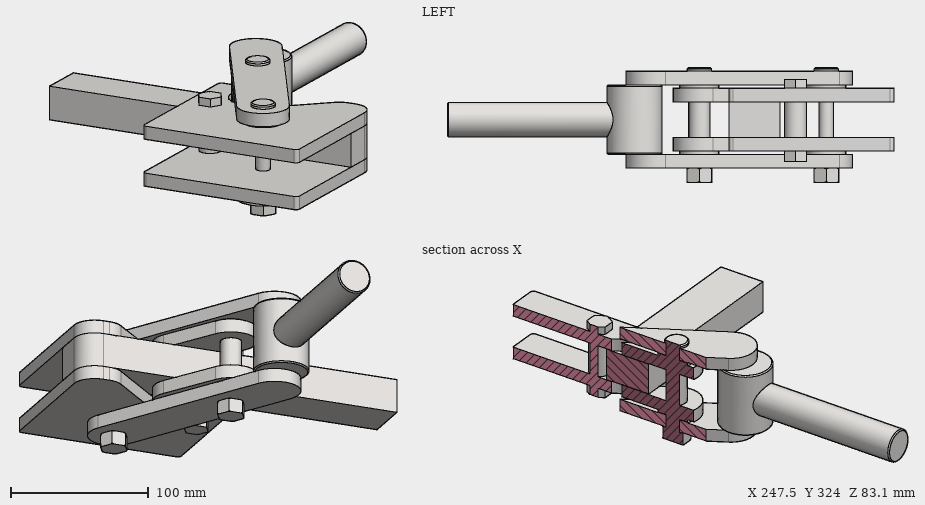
import cadquery as cq
import math


bar_thickness = 25.5
plate_thickness = 10.0
washer_thickness = 2.3
arm_thickness = 10.0
plate_inner_z = bar_thickness / 2
plate_outer_z = plate_inner_z + plate_thickness
arm_inner_z = plate_outer_z + washer_thickness
arm_outer_z = arm_inner_z + arm_thickness

plate_width = 127.3
plate_height = 120.0
small_corner_radius = 3.0
large_corner_radius = 16.2

bar_length = 247.5
bar_height = 37.3
bar_middle_y = plate_height - bar_height / 2

arm_lean = 30
base_pivot = (73.0, 49.2)
arm_length = 145.8
arm_radius = 19.0

link_lean = 31
link_radius = 19.0
arm_to_link_pivot = 106.3
link_pivot = (
    base_pivot[0] - arm_to_link_pivot * math.sin(math.radians(arm_lean)),
    base_pivot[1] + arm_to_link_pivot * math.cos(math.radians(arm_lean)),
)
link_drop = link_pivot[1] - bar_middle_y
link_length = link_drop / math.cos(math.radians(link_lean))
link_foot = (link_pivot[0] + link_drop * math.tan(math.radians(link_lean)), bar_middle_y)

notch_radius = 21.0
notch_center = (41.0, 100.5)
notch_mouth_x = 9.7
notch_floor_end_x = 55.5
notch_ramp_top_x = 100.0

boss_radius = 20.0
boss_y = 188.2
boss_chamfer = 1.0
rod_radius = 12.5
rod_tip_y = 324.0
rod_chamfer = 1.0

link_bolt_diameter = 15.5
base_bolt_diameter = 10.7
washer_diameter = 28.5
cap_diameter = 17.8
cap_height = 2.5
cap_chamfer = 1.0
nut_across_flats = 18.0
nut_height = 10.5
nut_bevel = 0.5

limit_bolt_position = (17.5, 71.5)
limit_bolt_diameter = 16.2
limit_head_height = 6.0
limit_nut_height = 7.5


def cylinder(position, diameter, z_low, z_high):
    """Cylinder along Z between two heights."""
    disc = cq.Workplane("XY", origin=(*position, z_low)).circle(diameter / 2)
    return disc.extrude(z_high - z_low)


def hexagon(position, across_flats, z_low, z_high):
    """Hexagonal prism along Z with two corners on the X axis."""
    across_corners = across_flats / math.cos(math.pi / 6)
    outline = cq.Workplane("XY", origin=(*position, z_low)).polygon(6, across_corners)
    return outline.extrude(z_high - z_low)


def bevelled_nut(position, across_flats, z_low, z_high):
    """Hexagon with its corners bevelled at both ends."""
    across_corners = across_flats / math.cos(math.pi / 6)
    envelope = cylinder(position, across_corners, z_low, z_high).faces("<Z or >Z").chamfer(nut_bevel)
    return hexagon(position, across_flats, z_low, z_high).intersect(envelope)


def mirrored_pair(plate):
    """The plate and its mirror image below the middle plane."""
    return plate.union(plate.mirror("XY"))


def leaning_strip(lower_end, length, radius, lean, z_low, thickness):
    """Round-ended strip that leans from +Y towards -X, by an angle in degrees."""
    strip = (
        cq.Workplane("XY", origin=(0, 0, z_low))
        .center(0, length / 2)
        .slot2D(length + 2 * radius, 2 * radius, 90)
        .extrude(thickness)
    )
    return strip.rotate((0, 0, 0), (0, 0, 1), lean).translate((*lower_end, 0))


def pivot_bolt(position, shaft_diameter):
    """Bolt through both arms, with a cap, a nut and the two washers inside the arms."""
    shaft = cylinder(position, shaft_diameter, -arm_outer_z, arm_outer_z)
    cap = cylinder(position, cap_diameter, arm_outer_z, arm_outer_z + cap_height)
    cap = cap.faces(">Z").chamfer(cap_chamfer)
    nut = bevelled_nut(position, nut_across_flats, -arm_outer_z - nut_height, -arm_outer_z)
    washers = mirrored_pair(cylinder(position, washer_diameter, plate_outer_z, arm_inner_z))
    return shaft.union(cap).union(nut).union(washers)


def limit_bolt():
    """Bolt that ties the base plates together below the bar."""
    shaft = cylinder(limit_bolt_position, limit_bolt_diameter, -plate_outer_z, plate_outer_z)
    head_top_z = plate_outer_z + limit_head_height
    nut_bottom_z = -plate_outer_z - limit_nut_height
    head = hexagon(limit_bolt_position, limit_bolt_diameter, plate_outer_z, head_top_z)
    nut = hexagon(limit_bolt_position, limit_bolt_diameter, nut_bottom_z, -plate_outer_z)
    return shaft.union(head).union(nut)


def base_plate():
    """Plate with rounded corners and a notch for the link in its top edge."""
    plate = (
        cq.Workplane("XY", origin=(0, 0, plate_inner_z))
        .rect(plate_width, plate_height, centered=False)
        .extrude(plate_thickness)
    )
    center_x, center_y = notch_center
    arc_reach = notch_radius * math.sqrt(0.5)
    notch = (
        cq.Workplane("XY", origin=(0, 0, plate_inner_z))
        .moveTo(notch_mouth_x, plate_height)
        .lineTo(center_x - notch_radius, center_y)
        .threePointArc(
            (center_x - arc_reach, center_y - arc_reach),
            (center_x, center_y - notch_radius),
        )
        .lineTo(notch_floor_end_x, center_y - notch_radius)
        .lineTo(notch_ramp_top_x, plate_height)
        .close()
        .extrude(plate_thickness)
    )
    plate = plate.cut(notch)

    def corner(x, y):
        return cq.selectors.NearestToPointSelector((x, y, plate_inner_z + plate_thickness / 2))

    for x, y in [(0, 0), (plate_width, 0), (0, plate_height)]:
        plate = plate.edges("|Z").edges(corner(x, y)).fillet(small_corner_radius)
    for x in [plate_width, notch_ramp_top_x]:
        plate = plate.edges("|Z").edges(corner(x, plate_height)).fillet(large_corner_radius)
    return plate


def make_base():
    """Two plates tied together by the limit bolt and the handle's pivot bolt."""
    pivot = pivot_bolt(base_pivot, base_bolt_diameter)
    return mirrored_pair(base_plate()).union(limit_bolt()).union(pivot)


def make_bar():
    """Bar that slides between the base plates, rounded to match their upper right corner."""
    bar_middle_x = plate_width - bar_length / 2
    blank = cq.Workplane("XY").box(bar_length, bar_height, bar_thickness)
    blank = blank.translate((bar_middle_x, bar_middle_y, 0))
    return blank.edges("|Z").edges(">X and >Y").fillet(large_corner_radius)


def make_links():
    """Two links joined by the bolt that carries them on the handle arms."""
    link = leaning_strip(link_foot, link_length, link_radius, link_lean, plate_inner_z, plate_thickness)
    return mirrored_pair(link).union(pivot_bolt(link_pivot, link_bolt_diameter))


def make_handle():
    """Two arms welded to a boss that carries the rod, bored for both pivot bolts."""
    arm = leaning_strip(base_pivot, arm_length, arm_radius, arm_lean, arm_inner_z, arm_thickness)
    arms = mirrored_pair(arm)
    boss = cylinder((0, boss_y), 2 * boss_radius, -arm_inner_z, arm_inner_z)
    boss = boss.faces("<Z or >Z").chamfer(boss_chamfer)
    rod = cq.Workplane("XZ", origin=(0, boss_y, 0)).circle(rod_radius).extrude(boss_y - rod_tip_y)
    rod = rod.faces(">Y").chamfer(rod_chamfer)
    handle = arms.union(boss).union(rod)
    for position, diameter in [(base_pivot, base_bolt_diameter), (link_pivot, link_bolt_diameter)]:
        handle = handle.cut(cylinder(position, diameter, -arm_outer_z, arm_outer_z))
    return handle


base = make_base()
bar = make_bar()
links = make_links()
handle = make_handle()

result = cq.Compound.makeCompound([base.val(), bar.val(), links.val(), handle.val()])